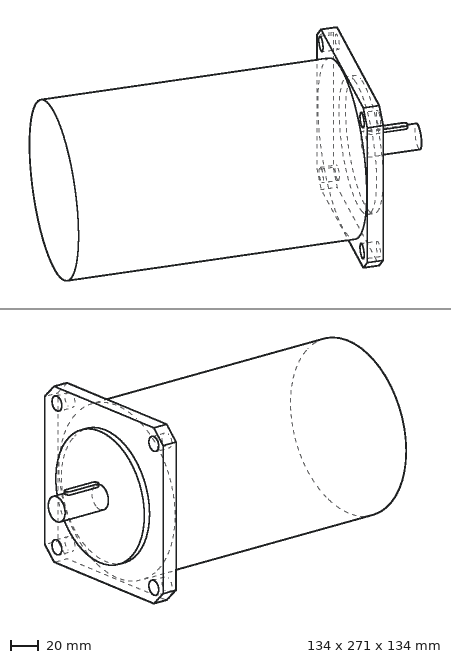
import cadquery as cq

total_length = 271.0
body_length = 214.0
flange_thickness = 12.0
pilot_thickness = 5.0
shaft_length = total_length - body_length - flange_thickness - pilot_thickness

flange_side = 134.0
flange_corner_cut = 10.5
body_diameter = 131.2
pilot_diameter = 100.0
shaft_diameter = 19.0
shaft_offset_x = -1.5

hole_spacing = 109.5
hole_diameter = 11.0

key_length = 30.0
key_width = 5.1
key_end_gap = 7.9
key_top = 11.7

body_end_y = -total_length / 2
flange_y = body_end_y + body_length
pilot_y = flange_y + flange_thickness
shaft_y = pilot_y + pilot_thickness
tip_y = shaft_y + shaft_length


def plane_at(y, x=0.0):
    """Sketch plane at the given Y whose extrusions run toward +Y."""
    return cq.Workplane(cq.Plane(origin=(x, y, 0), xDir=(-1, 0, 0), normal=(0, 1, 0)))


def cylinder(y, diameter, length, x=0.0):
    return plane_at(y, x).circle(diameter / 2).extrude(length)


def make_flange():
    plate = plane_at(flange_y).rect(flange_side, flange_side).extrude(flange_thickness)
    plate = plate.edges("|Y").chamfer(flange_corner_cut)
    holes = (
        plane_at(flange_y, shaft_offset_x)
        .rect(hole_spacing, hole_spacing, forConstruction=True)
        .vertices()
        .circle(hole_diameter / 2)
        .extrude(flange_thickness)
    )
    return plate.cut(holes)


def make_key():
    key_center_y = tip_y - key_end_gap - key_length / 2
    return (
        cq.Workplane("XY")
        .center(shaft_offset_x, key_center_y)
        .slot2D(key_length, key_width, 90)
        .extrude(key_top)
    )


body = cylinder(body_end_y, body_diameter, body_length)
pilot = cylinder(pilot_y, pilot_diameter, pilot_thickness, shaft_offset_x)
shaft = cylinder(shaft_y, shaft_diameter, shaft_length, shaft_offset_x)

result = body.union(make_flange()).union(pilot).union(shaft).union(make_key())